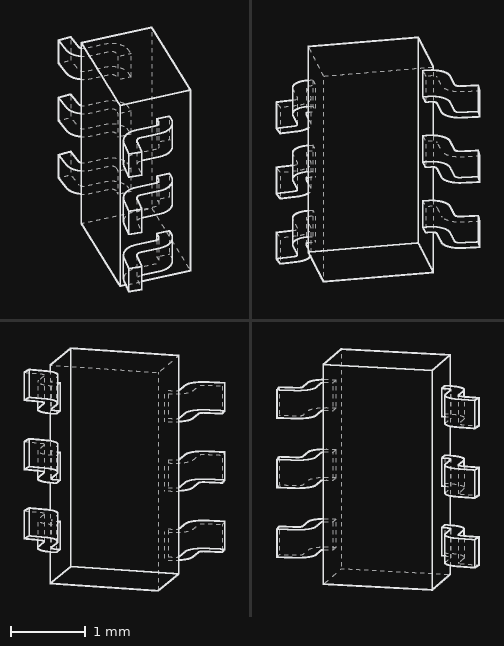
import cadquery as cq
import math

HOUSING_WIDTH = 1.5
HOUSING_DEPTH = 1.002
HOUSING_HEIGHT = 3.0

LEAD_THICKNESS = 0.18
LEAD_WIDTH = 0.385
LEAD_PITCH = 0.95
LEADS_PER_SIDE = 3
INNER_RADIUS = 0.07
OUTER_RADIUS = INNER_RADIUS + LEAD_THICKNESS
FOOT_ANGLE = 5.0
LEAD_SPAN = 2.75
TOTAL_DEPTH = 1.1
LEAD_BACK_Y = -0.3
LEG_OUTER_X = 1.07


def make_housing():
    return cq.Workplane("XY").box(
        HOUSING_WIDTH, HOUSING_DEPTH, HOUSING_HEIGHT, centered=(True, False, True)
    ).translate((0, -HOUSING_DEPTH, 0))


def polar(center, radius, degrees):
    """Point at a given radius and direction from a bend center."""
    angle = math.radians(degrees)
    return (center[0] + radius * math.cos(angle), center[1] + radius * math.sin(angle))


def make_lead():
    """Lead on the +X side, centered on Z = 0."""
    root_x = HOUSING_WIDTH / 2
    leg_inner_x = LEG_OUTER_X - LEAD_THICKNESS
    slope = math.radians(FOOT_ANGLE)
    foot_end = 270 - FOOT_ANGLE
    foot_middle = (180 + foot_end) / 2

    tip_back_x = LEAD_SPAN / 2
    tip_front = (tip_back_x - LEAD_THICKNESS * math.sin(slope), -TOTAL_DEPTH)
    tip_back = (tip_back_x, tip_front[1] + LEAD_THICKNESS * math.cos(slope))

    shoulder = (LEG_OUTER_X - OUTER_RADIUS, LEAD_BACK_Y - OUTER_RADIUS)
    heel_x = leg_inner_x + OUTER_RADIUS
    foot_start_x = polar((heel_x, 0), OUTER_RADIUS, foot_end)[0]
    foot_start_y = tip_front[1] + (tip_front[0] - foot_start_x) * math.tan(slope)
    heel = (heel_x, foot_start_y + OUTER_RADIUS * math.cos(slope))

    return (
        cq.Workplane("XY")
        .moveTo(root_x, LEAD_BACK_Y)
        .lineTo(*polar(shoulder, OUTER_RADIUS, 90))
        .threePointArc(polar(shoulder, OUTER_RADIUS, 45), polar(shoulder, OUTER_RADIUS, 0))
        .lineTo(*polar(heel, INNER_RADIUS, 180))
        .threePointArc(polar(heel, INNER_RADIUS, foot_middle), polar(heel, INNER_RADIUS, foot_end))
        .lineTo(*tip_back)
        .lineTo(*tip_front)
        .lineTo(*polar(heel, OUTER_RADIUS, foot_end))
        .threePointArc(polar(heel, OUTER_RADIUS, foot_middle), polar(heel, OUTER_RADIUS, 180))
        .lineTo(*polar(shoulder, INNER_RADIUS, 0))
        .threePointArc(polar(shoulder, INNER_RADIUS, 45), polar(shoulder, INNER_RADIUS, 90))
        .lineTo(root_x, LEAD_BACK_Y - LEAD_THICKNESS)
        .close()
        .extrude(LEAD_WIDTH / 2, both=True)
    )


housing = make_housing()

right_lead = make_lead()
left_lead = right_lead.mirror("YZ")
leads = []
for row in range(LEADS_PER_SIDE):
    height = (row - (LEADS_PER_SIDE - 1) / 2) * LEAD_PITCH
    for lead in (left_lead, right_lead):
        leads.append(lead.translate((0, 0, height)).val())

result = cq.Compound.makeCompound([housing.val(), *leads])